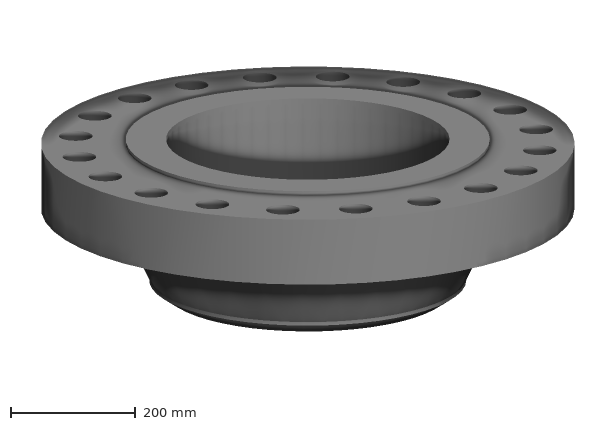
import cadquery as cq

flange_diameter = 857.0
flange_thickness = 109.0
total_height = 254.0
bore_diameter = 455.0

face_diameter = 585.0
face_height = 7.0

hub_diameter = 621.0
hub_fillet_radius = 14.0
neck_diameter = 509.0
neck_land_height = 6.0
bevel_height = 17.0
tip_diameter = 459.5

bolt_count = 20
bolt_circle_diameter = 749.0
bolt_hole_diameter = 54.0

flange_top = total_height - face_height
flange_bottom = flange_top - flange_thickness
land_bottom = bevel_height
land_top = land_bottom + neck_land_height


def make_body():
    """Revolve the half section of flange, tapered hub and bevelled neck."""
    return (
        cq.Workplane("XZ")
        .moveTo(bore_diameter / 2, 0)
        .lineTo(tip_diameter / 2, 0)
        .lineTo(neck_diameter / 2, land_bottom)
        .lineTo(neck_diameter / 2, land_top)
        .lineTo(hub_diameter / 2, flange_bottom)
        .lineTo(flange_diameter / 2, flange_bottom)
        .lineTo(flange_diameter / 2, flange_top)
        .lineTo(face_diameter / 2, flange_top)
        .lineTo(face_diameter / 2, total_height)
        .lineTo(bore_diameter / 2, total_height)
        .close()
        .revolve(360, (0, 0, 0), (0, 1, 0))
    )


def make_bolt_holes():
    """Cylinders through the flange, with one hole on the +X axis."""
    return (
        cq.Workplane("XY")
        .workplane(offset=flange_bottom)
        .polarArray(bolt_circle_diameter / 2, 0, 360, bolt_count)
        .circle(bolt_hole_diameter / 2)
        .extrude(flange_thickness)
    )


def round_hub_root(body):
    """Fillet the inside corner where the hub meets the flange."""
    margin = 1.0
    reach = hub_diameter / 2 + margin
    root_edge = cq.selectors.BoxSelector(
        (-reach, -reach, flange_bottom - margin),
        (reach, reach, flange_bottom + margin),
        boundingbox=True,
    )
    return body.edges(root_edge).fillet(hub_fillet_radius)


result = round_hub_root(make_body()).cut(make_bolt_holes())